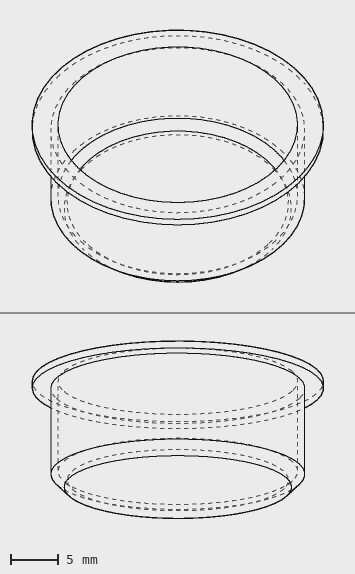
import cadquery as cq
import math

flange_diameter = 30.4
body_diameter = 26.5
height = 11.5
wall = 0.75
outer_chamfer = 1.4

cavity_diameter = body_diameter - 2 * wall
cavity_chamfer = outer_chamfer - wall * (2 - math.sqrt(2))


def chamfered_cylinder(diameter, bottom, top, chamfer):
    """Upright cylinder with a chamfered lower edge."""
    return (
        cq.Workplane("XY")
        .workplane(offset=bottom)
        .circle(diameter / 2)
        .extrude(top - bottom)
        .faces("<Z")
        .chamfer(chamfer)
    )


body = chamfered_cylinder(body_diameter, 0, height, outer_chamfer)
flange = cq.Workplane("XY").workplane(offset=height - wall).circle(flange_diameter / 2).extrude(wall)
cavity = chamfered_cylinder(cavity_diameter, wall, height, cavity_chamfer)

result = body.union(flange).cut(cavity)